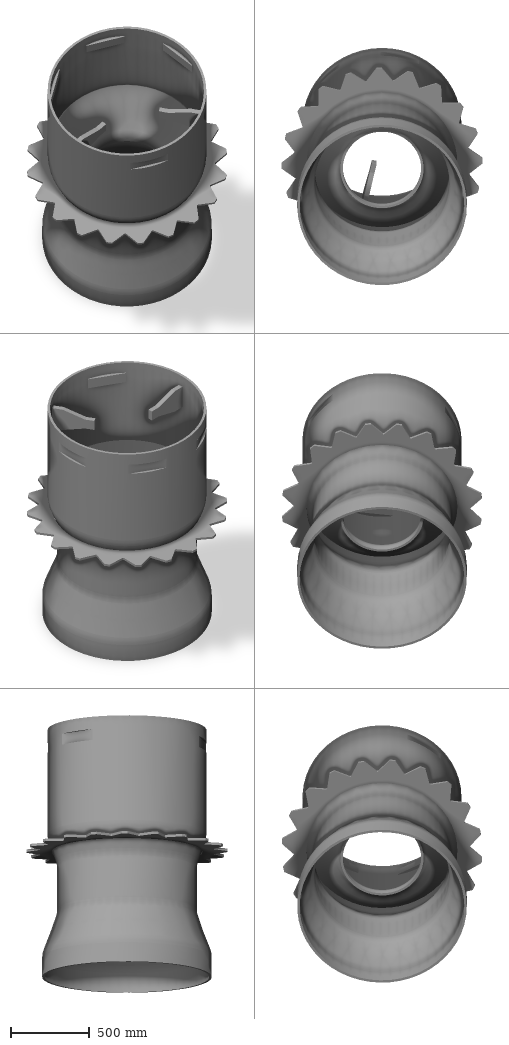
import cadquery as cq
import math

HEIGHT = 1600.0
WALL = 16.0
SOCKET_DIAMETER = 1011.0
WAIST_DIAMETER = 890.0
BELL_DIAMETER = 1080.0
TAPER_ANGLE = 20.0
TUBE_BEND_RADIUS = 135.0
SOCKET_CORNER_Z = 896.0
BELL_CORNER_Z = 150.0

PAD_ANGLES = (0.0, 120.0, 180.0, 240.0)
PAD_WIDTH = 251.0
PAD_HEIGHT = 70.0
PAD_THICKNESS = 20.0
PAD_TOP_Z = 1520.0

RING_DIAMETER = 1280.0
RING_BORE = 960.0
RING_THICKNESS = 16.0
RING_TEETH = 20
NOTCH_ROOT_RADIUS = 560.0
NOTCH_ROOT_WIDTH = 6.0
NOTCH_MOUTH_WIDTH = 165.0

FUNNEL_WALL = 15.2
FUNNEL_ANGLE = 45.0
FUNNEL_TOP_Z = 998.0
SPOUT_BORE = 500.0
SPOUT_LENGTH = 32.0
FUNNEL_BEND_RADIUS = 60.0

ARM_ANGLES = (60.0, 300.0)
ARM_THICKNESS = 30.0
ARM_TIP_RADIUS = 211.0
ARM_TIP_CRANK_RADIUS = 272.0
ARM_ROOT_CRANK_RADIUS = 420.0
ARM_DROP = 51.0
ARM_ROOT_DEPTH = 160.0
ARM_TIP_DEPTH = 70.0

SOCKET_RADIUS = SOCKET_DIAMETER / 2
SOCKET_BORE_RADIUS = SOCKET_RADIUS - WALL
WAIST_RADIUS = WAIST_DIAMETER / 2
BELL_RADIUS = BELL_DIAMETER / 2
TAPER_SLOPE = math.tan(math.radians(TAPER_ANGLE))


def xy(vector):
    """The two in-plane coordinates of a vector."""
    return (vector.x, vector.y)


def left_of(direction):
    """Unit vector to the left of a unit direction."""
    return cq.Vector(-direction.y, direction.x)


def sheet_bends(path, bend_radius, offset):
    """Start and end of each bend on a sheet face, which lies the offset to the left of the path.

    The bend radius is that of the path itself.
    """
    bends = []
    for before, corner, after in zip(path, path[1:], path[2:]):
        enter = (corner - before).normalized()
        leave = (after - corner).normalized()
        turn = math.copysign(1, enter.cross(leave).z)
        miter = (left_of(enter) + left_of(leave)) / (1 + enter.dot(leave))
        face_corner = corner + miter * offset
        tangent = (bend_radius - turn * offset) * math.tan(enter.getAngle(leave) / 2)
        bends.append((face_corner - enter * tangent, face_corner + leave * tangent))
    return bends


def revolved_sheet(path_points, inside_bend_radius, thickness):
    """Sheet with round bends and square-cut ends along a mid-wall (r, z) path, revolved about Z."""
    path = [cq.Vector(*point) for point in path_points]
    half = thickness / 2
    bend_radius = inside_bend_radius + half
    first_left = left_of((path[1] - path[0]).normalized())
    last_left = left_of((path[-1] - path[-2]).normalized())
    left_bends = sheet_bends(path, bend_radius, half)
    right_bends = sheet_bends(path, bend_radius, -half)

    outline = cq.Workplane("XZ").moveTo(*xy(path[0] + first_left * half))
    for start, end in left_bends:
        outline = outline.lineTo(*xy(start)).tangentArcPoint(xy(end), relative=False)
    outline = outline.lineTo(*xy(path[-1] + last_left * half))
    outline = outline.lineTo(*xy(path[-1] - last_left * half))
    for start, end in reversed(right_bends):
        outline = outline.lineTo(*xy(end)).tangentArcPoint(xy(start), relative=False)
    outline = outline.lineTo(*xy(path[0] - first_left * half)).close()
    return outline.revolve(360, (0, 0, 0), (0, 1, 0))


def pad_block(angle, inner, outer):
    """Block as wide and high as a pad, between two distances from the axis."""
    return (
        cq.Workplane("XY", origin=(0, 0, PAD_TOP_Z))
        .center((inner + outer) / 2, 0)
        .rect(outer - inner, PAD_WIDTH)
        .extrude(-PAD_HEIGHT)
        .rotate((0, 0, 0), (0, 0, 1), angle)
    )


def make_tube():
    half = WALL / 2
    corner_shift = half * math.tan(math.radians(TAPER_ANGLE / 2))
    upper_taper_height = (SOCKET_RADIUS - WAIST_RADIUS) / TAPER_SLOPE
    lower_taper_height = (BELL_RADIUS - WAIST_RADIUS) / TAPER_SLOPE
    tube = revolved_sheet(
        [
            (BELL_RADIUS - half, 0),
            (BELL_RADIUS - half, BELL_CORNER_Z - corner_shift),
            (WAIST_RADIUS - half, BELL_CORNER_Z + lower_taper_height - corner_shift),
            (WAIST_RADIUS - half, SOCKET_CORNER_Z - upper_taper_height + corner_shift),
            (SOCKET_RADIUS - half, SOCKET_CORNER_Z + corner_shift),
            (SOCKET_RADIUS - half, HEIGHT),
        ],
        TUBE_BEND_RADIUS,
        WALL,
    )
    pad_outer = math.sqrt(SOCKET_RADIUS**2 - (PAD_WIDTH / 2) ** 2)
    for angle in PAD_ANGLES:
        tube = tube.cut(pad_block(angle, pad_outer, SOCKET_RADIUS + WALL))
        tube = tube.union(pad_block(angle, pad_outer - PAD_THICKNESS, pad_outer))
    return tube


def make_ring():
    top_z = SOCKET_CORNER_Z - (SOCKET_RADIUS - RING_BORE / 2) / TAPER_SLOPE
    ring = (
        cq.Workplane("XY", origin=(0, 0, top_z))
        .circle(RING_DIAMETER / 2)
        .circle(RING_BORE / 2)
        .extrude(-RING_THICKNESS)
    )
    mouth_radius = math.sqrt((RING_DIAMETER / 2) ** 2 - (NOTCH_MOUTH_WIDTH / 2) ** 2)
    flank_slope = (NOTCH_MOUTH_WIDTH - NOTCH_ROOT_WIDTH) / 2 / (mouth_radius - NOTCH_ROOT_RADIUS)
    outer_half_width = NOTCH_ROOT_WIDTH / 2 + flank_slope * (RING_DIAMETER / 2 - NOTCH_ROOT_RADIUS)
    notch = (
        cq.Workplane("XY", origin=(0, 0, top_z))
        .moveTo(NOTCH_ROOT_RADIUS, -NOTCH_ROOT_WIDTH / 2)
        .lineTo(NOTCH_ROOT_RADIUS, NOTCH_ROOT_WIDTH / 2)
        .lineTo(RING_DIAMETER / 2, outer_half_width)
        .lineTo(RING_DIAMETER / 2, -outer_half_width)
        .close()
        .extrude(-RING_THICKNESS)
    )
    for tooth in range(RING_TEETH):
        ring = ring.cut(notch.rotate((0, 0, 0), (0, 0, 1), tooth * 360 / RING_TEETH))
    return ring


def make_funnel():
    slant = math.radians(FUNNEL_ANGLE)
    half = FUNNEL_WALL / 2
    rim_radius = SOCKET_BORE_RADIUS - half * math.cos(slant)
    rim_z = FUNNEL_TOP_Z - half * math.sin(slant)
    spout_radius = SPOUT_BORE / 2 + half
    corner_z = rim_z - (rim_radius - spout_radius) / math.tan(slant)
    bend_drop = (FUNNEL_BEND_RADIUS + half) * math.tan(slant / 2)
    return revolved_sheet(
        [
            (spout_radius, corner_z - bend_drop - SPOUT_LENGTH),
            (spout_radius, corner_z),
            (rim_radius, rim_z),
        ],
        FUNNEL_BEND_RADIUS,
        FUNNEL_WALL,
    )


def make_arm(angle):
    tip_top_z = PAD_TOP_Z - ARM_DROP
    tip_bottom_z = tip_top_z - ARM_TIP_DEPTH
    root_bottom_z = PAD_TOP_Z - ARM_ROOT_DEPTH
    plate = (
        cq.Workplane("XZ")
        .moveTo(SOCKET_RADIUS, PAD_TOP_Z)
        .lineTo(ARM_ROOT_CRANK_RADIUS, PAD_TOP_Z)
        .lineTo(ARM_TIP_CRANK_RADIUS, tip_top_z)
        .lineTo(ARM_TIP_RADIUS, tip_top_z)
        .lineTo(ARM_TIP_RADIUS, tip_bottom_z)
        .lineTo(ARM_TIP_CRANK_RADIUS, tip_bottom_z)
        .lineTo(ARM_ROOT_CRANK_RADIUS, root_bottom_z)
        .lineTo(SOCKET_RADIUS, root_bottom_z)
        .close()
        .extrude(ARM_THICKNESS / 2, both=True)
    )
    bore = cq.Workplane("XY").circle(SOCKET_BORE_RADIUS).extrude(HEIGHT)
    return plate.intersect(bore).rotate((0, 0, 0), (0, 0, 1), angle)


tube = make_tube()
ring = make_ring()
funnel = make_funnel()
arms = [make_arm(angle) for angle in ARM_ANGLES]

result = cq.Compound.makeCompound(
    [tube.val(), ring.val(), funnel.val(), *[arm.val() for arm in arms]]
)